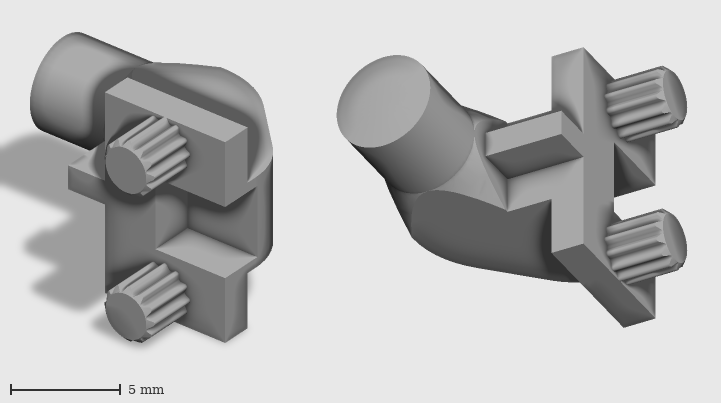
import cadquery as cq
import math

plate_width = 7.0
plate_height = 10.72
plate_thickness = 1.65
half_width = plate_width / 2

cable_diameter = 4.83
cable_radius = cable_diameter / 2
body_depth = 8.75
corner_cut = 5.0
back_corner_radius = 4.8
side_corner_radius = 3.65
cable_axis_y = body_depth - cable_radius
cable_front_y = body_depth - cable_diameter

overall_length = 14.61
dome_height = 0.13
blend_length = 3.0
blend_offset = 3.2
cable_end_x = half_width - overall_length + dome_height
blend_start_x = -half_width - blend_offset
blend_end_radius = cable_radius * math.sqrt(2)

rib_width = 2.15
rib_height = 1.27
slot_length = 4.05
slot_height = 3.8
slot_depth = 2.35

pin_length = 2.86
pin_spacing = 7.8
pin_tip_radius = 1.46
pin_root_radius = 1.2
pin_face_radius = 1.18
pin_chamfer = pin_tip_radius - pin_face_radius
tooth_count = 12
tooth_tip_rounding = 0.15
tooth_root_rounding = 0.13


def block(x_range, y_range, height):
    """Box spanning the given X and Y ranges, centred on Z = 0."""
    length = x_range[1] - x_range[0]
    depth = y_range[1] - y_range[0]
    box = cq.Workplane("XY").box(length, depth, height, centered=(False, False, True))
    return box.translate((x_range[0], y_range[0], 0))


def make_body():
    """Elbow of constant height with one cut corner, blended by two fillets."""
    body = (
        cq.Workplane("XY")
        .workplane(offset=-cable_radius)
        .moveTo(-half_width, 0)
        .lineTo(half_width, 0)
        .lineTo(half_width, body_depth - corner_cut)
        .lineTo(half_width - corner_cut, body_depth)
        .lineTo(blend_start_x, body_depth)
        .lineTo(blend_start_x, cable_front_y)
        .lineTo(-half_width, cable_front_y)
        .close()
        .extrude(cable_diameter)
    )
    side_corner = cq.selectors.NearestToPointSelector((half_width, body_depth - corner_cut, 0))
    back_corner = cq.selectors.NearestToPointSelector((half_width - corner_cut, body_depth, 0))
    body = body.edges("|Z").edges(side_corner).fillet(side_corner_radius)
    return body.edges("|Z").edges(back_corner).fillet(back_corner_radius)


def make_blend_cutter():
    """Square sleeve with a conical bore that rounds the body's cable end."""
    sleeve = block(
        (blend_start_x, blend_start_x + blend_length),
        (cable_axis_y - cable_diameter, cable_axis_y + cable_diameter),
        2 * cable_diameter,
    )
    cone = cq.Workplane("XY").add(
        cq.Solid.makeCone(
            cable_radius,
            blend_end_radius,
            blend_length,
            pnt=cq.Vector(blend_start_x, cable_axis_y, 0),
            dir=cq.Vector(1, 0, 0),
        )
    )
    return sleeve.cut(cone)


def make_cable():
    """Cable stub with a shallow domed end, revolved about its own axis."""
    dome_radius = (cable_radius**2 + dome_height**2) / (2 * dome_height)
    dome_mid_angle = math.asin(cable_radius / dome_radius) / 2
    dome_mid = (
        cable_end_x - dome_height + dome_radius * (1 - math.cos(dome_mid_angle)),
        -dome_radius * math.sin(dome_mid_angle),
    )
    return (
        cq.Workplane("XY", origin=(0, cable_axis_y, 0))
        .moveTo(blend_start_x, 0)
        .lineTo(blend_start_x, -cable_radius)
        .lineTo(cable_end_x, -cable_radius)
        .threePointArc(dome_mid, (cable_end_x - dome_height, 0))
        .close()
        .revolve(360, (0, 0, 0), (1, 0, 0))
    )


def polar(radius, angle):
    """Point at the given radius and angle about the pin axis."""
    return (radius * math.cos(angle), radius * math.sin(angle))


def flank_ends():
    """Polar (radius, angle) of the tip end and root end of a tooth's straight flank.

    The flank is the inner tangent between the tip rounding, centred on angle 0,
    and the root rounding, centred half a pitch further round.
    """
    tip_center = (pin_tip_radius - tooth_tip_rounding, 0)
    root_center = polar(pin_root_radius + tooth_root_rounding, math.pi / tooth_count)
    step_x = root_center[0] - tip_center[0]
    step_y = root_center[1] - tip_center[1]
    rounding_sum = tooth_tip_rounding + tooth_root_rounding
    lean_angle = math.acos(rounding_sum / math.hypot(step_x, step_y))
    normal_angle = math.atan2(step_y, step_x) - lean_angle
    normal_x, normal_y = polar(1, normal_angle)
    tip_x = tip_center[0] + tooth_tip_rounding * normal_x
    tip_y = tip_center[1] + tooth_tip_rounding * normal_y
    root_x = root_center[0] - tooth_root_rounding * normal_x
    root_y = root_center[1] - tooth_root_rounding * normal_y
    tip_end = (math.hypot(tip_x, tip_y), math.atan2(tip_y, tip_x))
    root_end = (math.hypot(root_x, root_y), math.atan2(root_y, root_x))
    return tip_end, root_end


def make_pin(center_z):
    """Toothed pin pointing to -Y, with its tooth ends chamfered."""
    (tip_end_radius, tip_end_angle), (root_end_radius, root_end_angle) = flank_ends()
    pitch_angle = 2 * math.pi / tooth_count
    profile = cq.Workplane("XZ", origin=(0, 0, center_z))
    profile = profile.moveTo(*polar(root_end_radius, -root_end_angle))
    for tooth in range(tooth_count):
        middle = tooth * pitch_angle
        next_middle = middle + pitch_angle
        profile = (
            profile.lineTo(*polar(tip_end_radius, middle - tip_end_angle))
            .threePointArc(
                polar(pin_tip_radius, middle),
                polar(tip_end_radius, middle + tip_end_angle),
            )
            .lineTo(*polar(root_end_radius, middle + root_end_angle))
            .threePointArc(
                polar(pin_root_radius, middle + pitch_angle / 2),
                polar(root_end_radius, next_middle - root_end_angle),
            )
        )
    toothed = profile.close().extrude(pin_length)
    envelope = (
        cq.Workplane("XZ", origin=(0, 0, center_z))
        .circle(pin_tip_radius)
        .extrude(pin_length)
        .faces("<Y")
        .chamfer(pin_chamfer)
    )
    return toothed.intersect(envelope)


plate = block((-half_width, half_width), (0, plate_thickness), plate_height)
rib = block(
    (-half_width - rib_width, -half_width),
    (0, cable_front_y),
    rib_height,
)
slot = block((half_width - slot_length, half_width), (0, slot_depth), slot_height)

result = make_body().cut(make_blend_cutter()).union(make_cable())
result = result.union(plate).union(rib).cut(slot)
for pin_z in (-pin_spacing / 2, pin_spacing / 2):
    result = result.union(make_pin(pin_z))